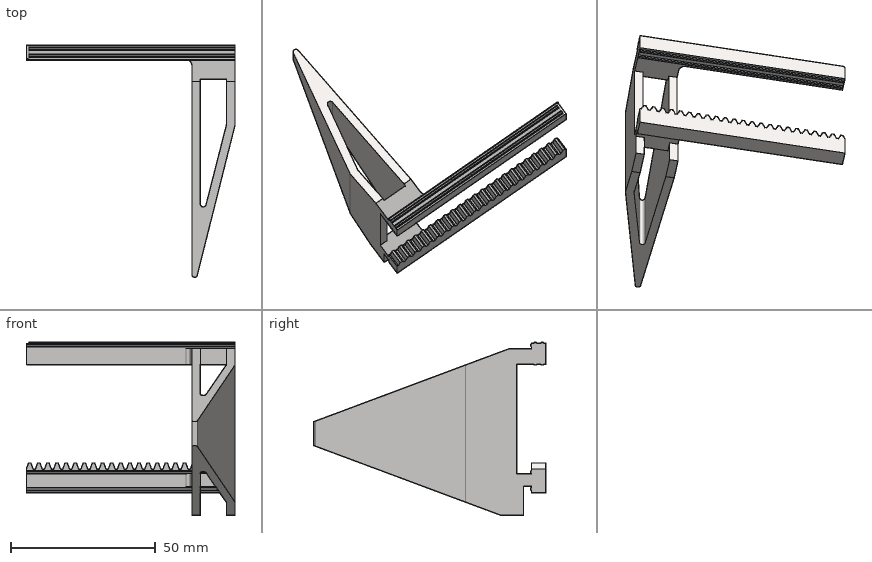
import cadquery as cq
import math

length = 71.9
depth = 80.1

rail_width = 5.0
upper_rail_top = 59.3
upper_rail_bottom = 52.05
lower_rail_top = 15.9
lower_rail_bottom = 7.8
rail_end_radius = 1.0

bead_height = 0.3
bead_base = 1.2
bead_crest = bead_base - 2 * bead_height
bead_lead_in = 0.25
bead_inset = 1.3
upper_side_bead_z = 58.6
lower_side_beads_z = (9.05, 14.9)

tooth_count = 23
first_tooth_x = 1.1
last_tooth_x = 70.2
pitch = (last_tooth_x - first_tooth_x) / (tooth_count - 1)
addendum = pitch / math.pi
pressure_angle = math.radians(20)
tooth_height = 2.2

jaw_width = 14.9
jaw_left = length - jaw_width
wall = 3.0
jaw_top = 57.5
jaw_back = 10.0
left_foot_back = 8.3
right_foot_back = 7.7
straight_side_end = 27.7
upper_taper_start = 12.6
lower_taper_start = 15.6
tip_top = 32.3
tip_bottom = 24.0
nose_radius = 1.0

pocket_back = 11.8
pocket_front = 55.7
pocket_taper_start = 27.3

lower_neck_bottom = 10.0
lower_neck_top = 14.3
neck_radius = 2.1


def bead(y, z, angle):
    """A guide bead at (y, z) with its crest turned by `angle` from +Y towards +Z."""
    outline = [
        (-bead_height, -bead_base / 2),
        (0, -bead_base / 2),
        (bead_height, -bead_crest / 2),
        (bead_height, bead_crest / 2),
        (0, bead_base / 2),
        (-bead_height, bead_base / 2),
    ]
    ridge = cq.Workplane("YZ").polyline(outline).close().extrude(length)
    return ridge.rotate((0, 0, 0), (1, 0, 0), angle).translate((0, y, z))


def block(x0, x1, y0, y1, z0, z1):
    return cq.Workplane("XY").box(x1 - x0, y1 - y0, z1 - z0, centered=False).translate((x0, y0, z0))


def upper_rail():
    rail = block(0, length, -rail_width, 0, upper_rail_bottom, upper_rail_top)
    rail = rail.edges("<X and >Z").fillet(rail_end_radius)
    for y in (-bead_inset, bead_inset - rail_width):
        lower_bead = bead(y, upper_rail_bottom, -90)
        rail = rail.union(lower_bead.edges("<X and <Z").chamfer(bead_lead_in))
        crest = bead(y, upper_rail_top, 90)
        rail = rail.union(crest.intersect(block(rail_end_radius, length, -depth, 0, 0, depth)))
    return rail.union(bead(-rail_width, upper_side_bead_z, 180))


def tooth(x):
    slope = math.tan(pressure_angle)
    half_crest = pitch / 4 - addendum * slope
    half_root = half_crest + tooth_height * slope
    crest_z = lower_rail_top + tooth_height
    outline = [
        (x - half_root, lower_rail_top),
        (x - half_crest, crest_z),
        (x + half_crest, crest_z),
        (x + half_root, lower_rail_top),
    ]
    return cq.Workplane("XZ").polyline(outline).close().extrude(rail_width)


def lower_rail():
    """Rack rail with two side beads; the first tooth is trimmed flush with the rail end."""
    rail = block(0, length, -rail_width, 0, lower_rail_bottom, lower_rail_top)
    for z in lower_side_beads_z:
        rail = rail.union(bead(-rail_width, z, 180))
    for i in range(tooth_count):
        rail = rail.union(tooth(first_tooth_x + i * pitch))
    return rail.intersect(block(0, length, -depth, 0, 0, depth))


def round_nosed_wedge(left, right, back, taper_start, front):
    """Wedge with a straight left side and a nose tangent to both sides; depths run along -Y."""
    center_x = left + nose_radius
    center_y = nose_radius - front
    taper_x = right - center_x
    taper_y = -taper_start - center_y
    taper_bearing = math.atan2(taper_y, taper_x)
    tangent_angle = taper_bearing - math.acos(nose_radius / math.hypot(taper_x, taper_y))
    tangent_point = (
        center_x + nose_radius * math.cos(tangent_angle),
        center_y + nose_radius * math.sin(tangent_angle),
    )
    return (
        cq.Workplane("XY")
        .moveTo(left, -back)
        .lineTo(left, center_y)
        .threePointArc((center_x, -front), tangent_point)
        .lineTo(right, -taper_start)
        .lineTo(right, -back)
        .close()
        .extrude(jaw_top)
    )


def jaw_side():
    """Jaw outline seen along X: two tapers, with necks at the back separated by open gaps."""
    outline = [
        (-rail_width, jaw_top),
        (-upper_taper_start, jaw_top),
        (-depth, tip_top),
        (-depth, tip_bottom),
        (-lower_taper_start, 0),
        (-right_foot_back, 0),
        (-right_foot_back, lower_neck_bottom),
        (-rail_width, lower_neck_bottom),
        (-rail_width, lower_neck_top),
        (-jaw_back, lower_neck_top),
        (-jaw_back, upper_rail_bottom),
        (-rail_width, upper_rail_bottom),
    ]
    return cq.Workplane("YZ").polyline(outline).close().extrude(length)


def pocket():
    """Tapered opening between the jaw walls, leaving the neck blocks closed behind it."""
    left = jaw_left + wall
    right = length - wall
    opening = round_nosed_wedge(left, right, pocket_back, pocket_taper_start, pocket_front)
    gap_between_necks = block(left, right, -pocket_back, -rail_width, lower_neck_top, upper_rail_bottom)
    gap_below_necks = block(left, right, -pocket_back, -rail_width, 0, lower_neck_bottom)
    return opening.union(gap_between_necks).union(gap_below_necks)


def neck_fillet(z0, z1):
    """Concave round where the left face of the jaw meets the front of a rail."""
    return (
        cq.Workplane("XY", origin=(jaw_left, -rail_width, z0))
        .lineTo(-neck_radius, 0)
        .radiusArc((0, -neck_radius), neck_radius)
        .close()
        .extrude(z1 - z0)
    )


def jaw():
    foot_notch = block(jaw_left, jaw_left + wall, -left_foot_back, -right_foot_back, 0, lower_neck_bottom)
    plan = round_nosed_wedge(jaw_left, length, rail_width, straight_side_end, depth)
    body = plan.intersect(jaw_side()).cut(pocket()).cut(foot_notch)
    body = body.union(neck_fillet(lower_neck_bottom, lower_neck_top))
    return body.union(neck_fillet(upper_rail_bottom, jaw_top))


result = jaw().union(upper_rail()).union(lower_rail())